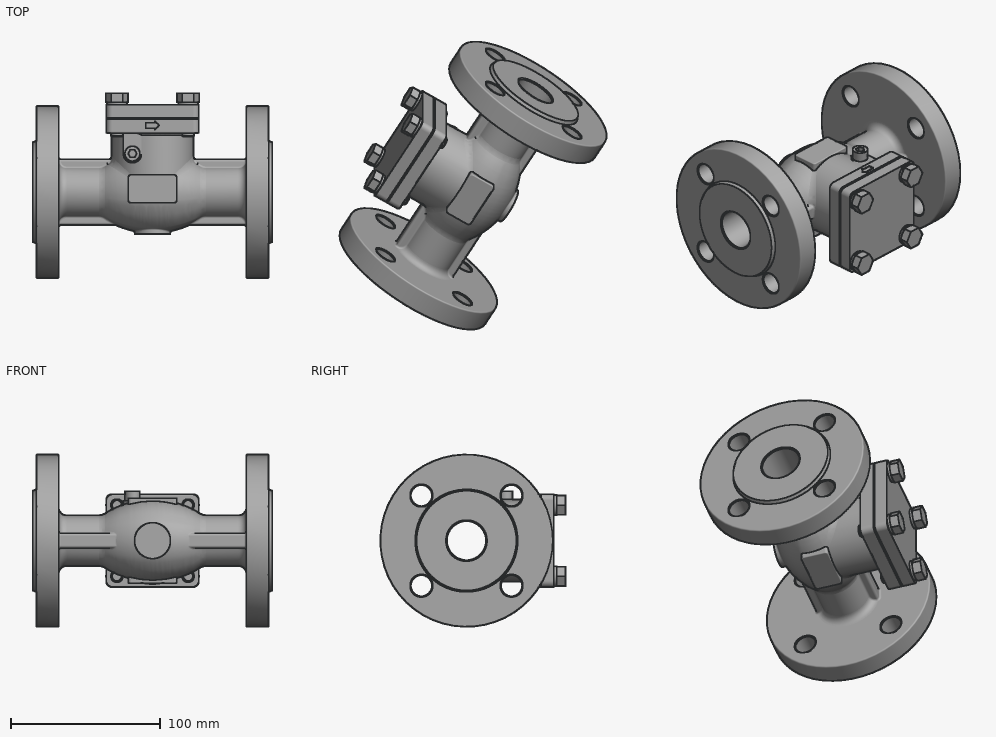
import cadquery as cq
import math

LENGTH = 160.0
RAISED_FACE_DIA = 66.5
RAISED_FACE_BASE_DIA = 68.5
RAISED_FACE_HEIGHT = 2.5
FLANGE_DIA = 115.0
FLANGE_THICKNESS = 15.0
FLANGE_EDGE_RADIUS = 1.0
FLANGE_HOLE_DIA = 14.0
FLANGE_HOLE_CHAMFER = 0.6
FLANGE_HOLE_COUNT = 4
FLANGE_HOLE_START_ANGLE = 45.0
BOLT_CIRCLE_DIA = 85.0
PIPE_DIA = 34.0
PIPE_FLANGE_RADIUS = 5.0
BORE_DIA = 26.0
BORE_CHAMFER = 0.75

BODY_HALF_LENGTH = 33.4
BODY_MIDDLE_RADIUS = 27.3
BODY_PIPE_RADIUS = 7.5

NECK_DIA = 55.0
NECK_BOTTOM_Y = 3.0
NECK_BLEND_START_X = 4.0
NECK_BODY_RADIUS = 6.0
NECK_TOP_RADIUS = 1.5
COVER_SIDE = 62.0
COVER_CORNER_RADIUS = 4.0
COVER_EDGE_RADIUS = 1.0
SEAT_BOTTOM_Y = 39.4
GASKET_BOTTOM_Y = 48.7
GASKET_TOP_Y = 49.7
COVER_TOP_Y = 58.3
GASKET_INSET = 0.3

BOLT_SPACING = 47.5
BOLT_DIA = 8.0
BOLT_END_PROTRUSION = 2.6
BOLT_END_CHAMFER = 0.8
WASHER_DIA = 13.5
WASHER_THICKNESS = 1.8
HEX_ACROSS_FLATS = 13.0
HEX_HEIGHT = 6.0

RIB_HALF_HEIGHT = 22.0
RIB_THICKNESS = 10.0
RIB_EDGE_RADIUS = 1.8
RIB_ROOT_RADIUS = 1.4
RIB_INNER_X = 20.0

BOSS_DIA = 24.0
BOSS_FACE_Y = -28.0
BOSS_ROOT_RADIUS = 1.0

PLATE_LENGTH = 32.4
PLATE_WIDTH = 18.8
PLATE_CENTRE_Y = 2.2
PLATE_FACE_Z = 28.4
PLATE_CORNER_RADIUS = 2.0
PLATE_EDGE_RADIUS = 0.7

LUG_X = -13.4
LUG_Y = 25.7
LUG_WIDTH = 12.2
LUG_FACE_Z = 26.5
PLUG_DIA = 10.0
PLUG_TOP_Z = 33.0
SOCKET_ACROSS_FLATS = 5.0
SOCKET_DEPTH = 3.0

ARROW_Y = 44.5
ARROW_LENGTH = 9.0
ARROW_HEAD_LENGTH = 3.0
ARROW_HEAD_WIDTH = 5.8
ARROW_SHAFT_WIDTH = 3.7
ARROW_DEPTH = 0.3

HALF_LENGTH = LENGTH / 2
FLANGE_FRONT_X = HALF_LENGTH - RAISED_FACE_HEIGHT
FLANGE_BACK_X = FLANGE_FRONT_X - FLANGE_THICKNESS
PIPE_RADIUS = PIPE_DIA / 2
SIDES = (-1, 1)


def box_selector(low, high):
    """Makes a selector for the edges that lie wholly between two corners of a box."""
    return cq.selectors.BoxSelector(low, high, boundingbox=True)


def ring_at(x, radius):
    """Makes a selector for the circular edges about the X axis at x, up to the given radius."""
    margin = 0.1
    reach = radius + margin
    return box_selector((x - margin, -reach, -reach), (x + margin, reach, reach))


def cylinder_along_y(dia, x, z, bottom_y, top_y):
    turned = cq.Workplane("XZ", origin=(x, bottom_y, z))
    return turned.circle(dia / 2).extrude(bottom_y - top_y)


def square_plate(side, bottom_y, top_y):
    blank = cq.Workplane("XZ", origin=(0, bottom_y, 0)).rect(side, side).extrude(bottom_y - top_y)
    return blank.edges("|Y").fillet(COVER_CORNER_RADIUS)


def make_pipe_and_body():
    """Pipe with the bulged body in the middle, blended into the flange backs."""
    flange_radius = FLANGE_DIA / 2
    spindle = (
        cq.Workplane("XY")
        .moveTo(-FLANGE_FRONT_X, 0)
        .lineTo(-FLANGE_FRONT_X, flange_radius)
        .lineTo(-FLANGE_BACK_X, flange_radius)
        .lineTo(-FLANGE_BACK_X, PIPE_RADIUS)
        .lineTo(-BODY_HALF_LENGTH, PIPE_RADIUS)
        .threePointArc((0, BODY_MIDDLE_RADIUS), (BODY_HALF_LENGTH, PIPE_RADIUS))
        .lineTo(FLANGE_BACK_X, PIPE_RADIUS)
        .lineTo(FLANGE_BACK_X, flange_radius)
        .lineTo(FLANGE_FRONT_X, flange_radius)
        .lineTo(FLANGE_FRONT_X, 0)
        .close()
        .revolve(360, (0, 0, 0), (1, 0, 0))
    )
    for side in SIDES:
        spindle = spindle.edges(ring_at(side * BODY_HALF_LENGTH, PIPE_RADIUS)).fillet(BODY_PIPE_RADIUS)
        spindle = spindle.edges(ring_at(side * FLANGE_BACK_X, PIPE_RADIUS)).fillet(PIPE_FLANGE_RADIUS)
    for side in SIDES:
        for x in (FLANGE_FRONT_X, FLANGE_BACK_X):
            rim = ring_at(side * x, flange_radius) - ring_at(side * x, flange_radius - PIPE_FLANGE_RADIUS)
            spindle = spindle.edges(rim).fillet(FLANGE_EDGE_RADIUS)
    return spindle


def add_neck(valve):
    """Neck from the body up to the cover seat, blended into the flanks of the body."""
    neck_radius = NECK_DIA / 2
    valve = valve.union(cylinder_along_y(NECK_DIA, 0, 0, NECK_BOTTOM_Y, SEAT_BOTTOM_Y))
    for side in SIDES:
        x_range = sorted((side * NECK_BLEND_START_X, side * (neck_radius + 1)))
        blend = box_selector(
            (x_range[0], NECK_BOTTOM_Y - 1, -neck_radius),
            (x_range[1], SEAT_BOTTOM_Y - 1, neck_radius),
        )
        valve = valve.edges(blend).fillet(NECK_BODY_RADIUS)
    return valve


def add_cover_stack(valve):
    """Square cover seat with its neck fillet, then the gasket and the cover."""
    margin = 0.1
    reach = NECK_DIA / 2 + margin
    seat = square_plate(COVER_SIDE, SEAT_BOTTOM_Y, GASKET_BOTTOM_Y)
    seat = seat.faces("<Y").edges().fillet(COVER_EDGE_RADIUS)
    valve = valve.union(seat)
    neck_top = box_selector(
        (-reach, SEAT_BOTTOM_Y - margin, -reach),
        (reach, SEAT_BOTTOM_Y + margin, reach),
    )
    valve = valve.edges(neck_top).fillet(NECK_TOP_RADIUS)
    valve = valve.union(square_plate(COVER_SIDE - 2 * GASKET_INSET, GASKET_BOTTOM_Y, GASKET_TOP_Y))
    return valve.union(square_plate(COVER_SIDE, GASKET_TOP_Y, COVER_TOP_Y))


def make_bolt(x, z):
    """Cover bolt: hexagon head on a washer, and the shank end below the seat."""
    end_y = SEAT_BOTTOM_Y - BOLT_END_PROTRUSION
    washer_top_y = COVER_TOP_Y + WASHER_THICKNESS
    shank = cylinder_along_y(BOLT_DIA, x, z, end_y, COVER_TOP_Y)
    shank = shank.faces("<Y").edges().chamfer(BOLT_END_CHAMFER)
    washer = cylinder_along_y(WASHER_DIA, x, z, COVER_TOP_Y, washer_top_y)
    head = (
        cq.Workplane("XZ", origin=(x, washer_top_y, z))
        .polygon(6, HEX_ACROSS_FLATS / math.cos(math.pi / 6))
        .extrude(-HEX_HEIGHT)
    )
    return shank.union(washer).union(head)


def add_cover_bolts(valve):
    for side_x in SIDES:
        for side_z in SIDES:
            bolt = make_bolt(side_x * BOLT_SPACING / 2, side_z * BOLT_SPACING / 2)
            valve = valve.union(bolt)
    return valve


def add_rib(valve, side_x, side_y):
    """Straight rib from a flange back to the body, with rounded long edges and a rounded root."""
    rib_length = FLANGE_BACK_X - RIB_INNER_X
    rib = cq.Workplane("XY").box(rib_length, RIB_HALF_HEIGHT, RIB_THICKNESS)
    rib = rib.translate((side_x * (RIB_INNER_X + rib_length / 2), side_y * RIB_HALF_HEIGHT / 2, 0))
    outer_face = ">Y" if side_y > 0 else "<Y"
    rib = rib.faces(outer_face).edges("|X").fillet(RIB_EDGE_RADIUS)
    valve = valve.union(rib)

    margin = 0.1
    half_thickness = RIB_THICKNESS / 2 + margin
    x_range = sorted((side_x * BODY_HALF_LENGTH, side_x * FLANGE_BACK_X))
    y_range = sorted((side_y * PIPE_RADIUS / 2, side_y * PIPE_RADIUS))
    pipe_joint = box_selector(
        (x_range[0], y_range[0], -half_thickness),
        (x_range[1], y_range[1], half_thickness),
    )
    return valve.edges(pipe_joint).fillet(RIB_ROOT_RADIUS)


def add_boss(valve):
    """Round boss at the bottom of the body, with a rounded root."""
    boss = cylinder_along_y(BOSS_DIA, 0, 0, BOSS_FACE_Y, 0)
    valve = valve.union(boss)
    reach = BOSS_DIA / 2 + 0.1
    root = box_selector((-reach, BOSS_FACE_Y + 0.1, -reach), (reach, 0, reach))
    return valve.edges(root).fillet(BOSS_ROOT_RADIUS)


def make_name_plate(side_z):
    """Blank raised plate on the flank of the body."""
    plate = (
        cq.Workplane("XY")
        .center(0, PLATE_CENTRE_Y)
        .rect(PLATE_LENGTH, PLATE_WIDTH)
        .extrude(side_z * PLATE_FACE_Z)
        .edges("|Z")
        .fillet(PLATE_CORNER_RADIUS)
    )
    outer_face = ">Z" if side_z > 0 else "<Z"
    return plate.faces(outer_face).edges().fillet(PLATE_EDGE_RADIUS)


def make_lug():
    """Round-ended lug beside the neck that carries a socket-head plug."""
    half_width = LUG_WIDTH / 2
    lug = (
        cq.Workplane("XY")
        .moveTo(LUG_X - half_width, SEAT_BOTTOM_Y)
        .lineTo(LUG_X - half_width, LUG_Y)
        .threePointArc((LUG_X, LUG_Y - half_width), (LUG_X + half_width, LUG_Y))
        .lineTo(LUG_X + half_width, SEAT_BOTTOM_Y)
        .close()
        .extrude(LUG_FACE_Z)
    )
    plug = cq.Workplane("XY").center(LUG_X, LUG_Y).circle(PLUG_DIA / 2).extrude(PLUG_TOP_Z)
    socket_corner_dia = SOCKET_ACROSS_FLATS / math.cos(math.pi / 6)
    socket = (
        cq.Workplane("XY", origin=(LUG_X, LUG_Y, PLUG_TOP_Z))
        .polygon(6, socket_corner_dia)
        .extrude(-SOCKET_DEPTH)
    )
    return lug.union(plug).cut(socket)


def make_flow_arrow():
    """Cutter for the flow arrow in the +Z side of the cover seat."""
    tip_x = ARROW_LENGTH / 2
    neck_x = tip_x - ARROW_HEAD_LENGTH
    half_shaft = ARROW_SHAFT_WIDTH / 2
    half_head = ARROW_HEAD_WIDTH / 2
    outline = [
        (-tip_x, -half_shaft),
        (neck_x, -half_shaft),
        (neck_x, -half_head),
        (tip_x, 0),
        (neck_x, half_head),
        (neck_x, half_shaft),
        (-tip_x, half_shaft),
    ]
    side = cq.Workplane("XY", origin=(0, ARROW_Y, COVER_SIDE / 2))
    return side.polyline(outline).close().extrude(-ARROW_DEPTH)


def add_raised_faces(valve):
    """Raised sealing face on each flange, tapering towards the pipe end."""
    taper = math.degrees(math.atan2(RAISED_FACE_BASE_DIA - RAISED_FACE_DIA, 2 * RAISED_FACE_HEIGHT))
    for side in SIDES:
        base = cq.Workplane("YZ", origin=(side * FLANGE_FRONT_X, 0, 0)).circle(RAISED_FACE_BASE_DIA / 2)
        valve = valve.union(base.extrude(side * RAISED_FACE_HEIGHT, taper=taper))
    return valve


def make_flange_hole(side, y, z):
    """Cutter for one flange bolt hole, widened by a chamfer at both mouths."""
    radius = FLANGE_HOLE_DIA / 2
    mouth_radius = radius + FLANGE_HOLE_CHAMFER
    profile = [
        (FLANGE_BACK_X, 0),
        (FLANGE_BACK_X, mouth_radius),
        (FLANGE_BACK_X + FLANGE_HOLE_CHAMFER, radius),
        (FLANGE_FRONT_X - FLANGE_HOLE_CHAMFER, radius),
        (FLANGE_FRONT_X, mouth_radius),
        (FLANGE_FRONT_X, 0),
    ]
    cutter = cq.Workplane("XY").polyline(profile).close().revolve(360, (0, 0, 0), (1, 0, 0))
    if side < 0:
        cutter = cutter.mirror("YZ")
    return cutter.translate((0, y, z))


def cut_flange_holes(valve):
    for side in SIDES:
        for index in range(FLANGE_HOLE_COUNT):
            angle = math.radians(FLANGE_HOLE_START_ANGLE + index * 360 / FLANGE_HOLE_COUNT)
            y = BOLT_CIRCLE_DIA / 2 * math.cos(angle)
            z = BOLT_CIRCLE_DIA / 2 * math.sin(angle)
            valve = valve.cut(make_flange_hole(side, y, z))
    return valve


def cut_bore(valve):
    """Straight bore from end to end, with chamfered mouths."""
    end_plane = cq.Workplane("YZ", origin=(-HALF_LENGTH, 0, 0))
    valve = valve.cut(end_plane.circle(BORE_DIA / 2).extrude(LENGTH))
    for side in SIDES:
        valve = valve.edges(ring_at(side * HALF_LENGTH, BORE_DIA / 2)).chamfer(BORE_CHAMFER)
    return valve


valve = make_pipe_and_body()
valve = add_neck(valve)
for side_x in SIDES:
    for side_y in SIDES:
        valve = add_rib(valve, side_x, side_y)
valve = add_boss(valve)
valve = add_cover_stack(valve)
valve = valve.cut(make_flow_arrow())
for side_z in SIDES:
    valve = valve.union(make_name_plate(side_z))
valve = valve.union(make_lug())
valve = add_cover_bolts(valve)
valve = add_raised_faces(valve)
valve = cut_flange_holes(valve)

result = cut_bore(valve)